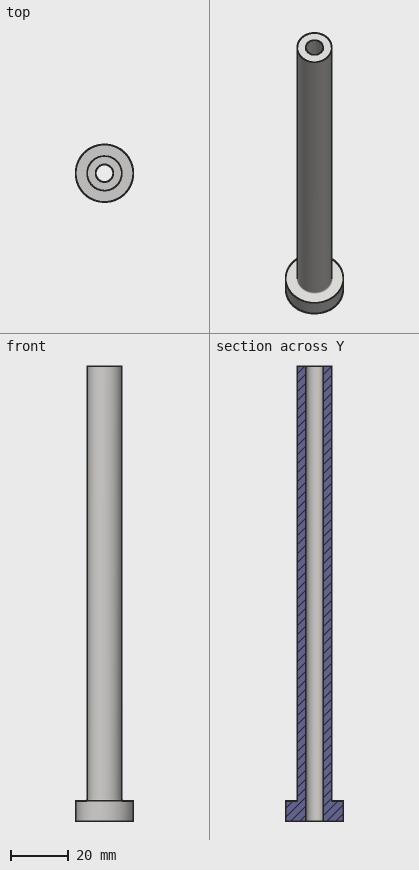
import cadquery as cq

total_length = 157.0
head_diameter = 20.0
head_height = 7.0
tube_diameter = 12.0
bore_diameter = 6.0
root_fillet = 0.5

head_radius = head_diameter / 2
tube_radius = tube_diameter / 2
fillet_center_height = head_height + root_fillet
fillet_outer_radius = tube_radius + root_fillet


def sleeve_body():
    """Flanged round body, revolved about Z, with a concave fillet where the tube meets the head."""
    profile = (
        cq.Workplane("XZ")
        .lineTo(head_radius, 0)
        .lineTo(head_radius, head_height)
        .lineTo(fillet_outer_radius, head_height)
        .radiusArc((tube_radius, fillet_center_height), root_fillet)
        .lineTo(tube_radius, total_length)
        .lineTo(0, total_length)
        .close()
    )
    return profile.revolve(360, (0, 0), (0, 1))


def through_bore():
    """Cylinder removed along the full length of the axis."""
    return cq.Workplane("XY").circle(bore_diameter / 2).extrude(total_length)


result = sleeve_body().cut(through_bore())